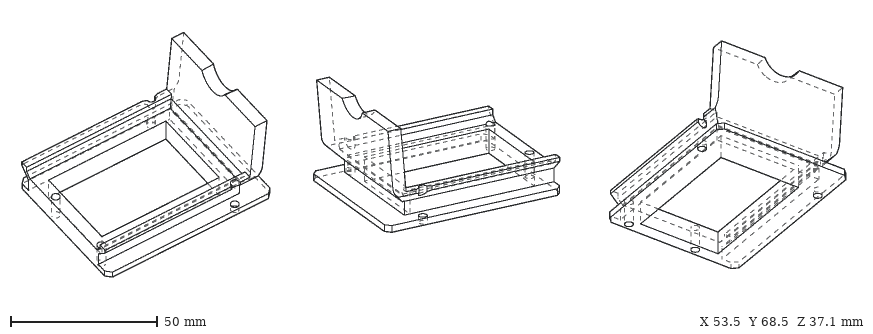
import cadquery as cq
import math

base_width = 53.5
base_length = 68.5
base_height = 2.55
corner_chamfer = 1.9

pedestal_half_width = 21.0
pedestal_back = 58.6
flare_bottom = 7.7
flare_size = 4.05
flare_top = flare_bottom + flare_size
rim_half_width = pedestal_half_width + flare_size
rim_top = 13.15
flare_back_step = 0.75

floor_height = 9.05
floor_half_width = 20.1
bevel_size = 2.0
bevel_top = floor_height + bevel_size
recess_half_width = floor_half_width + bevel_size
floor_back = 58.15

window_width = 32.05
window_front = 4.9
window_length = 48.65

total_height = 37.1
wall_lean = math.radians(5)
wall_top_front = 62.2
wall_top_depth = 5.0
wall_bend_radius = 5.0
grip_radius = 7.8
grip_depth = 4.05

hole_diameter = 3.0
left_hole = (-24.3, 53.15)
right_hole = (24.3, 54.3)
front_holes = [(-8.2, 2.55), (19.2, 2.55)]
left_relief_half_length = 3.1
right_relief_half_length = 1.9
relief_depth = 1.2


def wall_y(z, top_y):
    """Y of a leaning wall face at height z, given its Y at the top."""
    return top_y - (total_height - z) * math.tan(wall_lean)


def make_base():
    plate = cq.Workplane("XY").rect(base_width, base_length).extrude(base_height)
    return plate.edges("|Z").chamfer(corner_chamfer).translate((0, base_length / 2, 0))


def make_frame_and_wall():
    wall_top_back = wall_top_front + wall_top_depth
    flare_back = pedestal_back + flare_back_step
    slope = math.tan(wall_lean)
    bend_rise = (wall_y(flare_bottom, wall_top_back) - flare_back) / (1 - slope)
    bend_z = flare_bottom + bend_rise
    side_profile = [
        (0, 0),
        (pedestal_back, 0),
        (pedestal_back, flare_bottom),
        (flare_back, flare_bottom),
        (flare_back + bend_rise, bend_z),
        (wall_top_back, total_height),
        (wall_top_front, total_height),
        (wall_y(rim_top, wall_top_front), rim_top),
        (0, rim_top),
    ]
    body = (
        cq.Workplane("YZ")
        .polyline(side_profile)
        .close()
        .extrude(rim_half_width, both=True)
    )
    bend_point = (0, flare_back + bend_rise, bend_z)
    body = body.edges(cq.NearestToPointSelector(bend_point)).fillet(wall_bend_radius)

    right_profile = [
        (pedestal_half_width, 0),
        (pedestal_half_width, flare_bottom),
        (rim_half_width, flare_top),
        (rim_half_width, total_height),
    ]
    left_profile = [(-x, z) for x, z in reversed(right_profile)]
    envelope = (
        cq.Workplane("XZ")
        .polyline(right_profile + left_profile)
        .close()
        .extrude(-base_length)
    )
    return body.intersect(envelope)


def make_recess():
    across = [
        (floor_half_width, floor_height),
        (recess_half_width, bevel_top),
        (recess_half_width, rim_top),
        (-recess_half_width, rim_top),
        (-recess_half_width, bevel_top),
        (-floor_half_width, floor_height),
    ]
    along = [
        (0, floor_height),
        (floor_back, floor_height),
        (wall_y(bevel_top, wall_top_front), bevel_top),
        (wall_y(rim_top, wall_top_front), rim_top),
        (0, rim_top),
    ]
    channel = cq.Workplane("XZ").polyline(across).close().extrude(-base_length)
    limit = cq.Workplane("YZ").polyline(along).close().extrude(rim_half_width, both=True)
    return channel.intersect(limit)


def make_window():
    return (
        cq.Workplane("XY")
        .center(0, window_front + window_length / 2)
        .rect(window_width, window_length)
        .extrude(rim_top)
    )


def make_grip():
    """Finger notch cut square to the leaning wall."""
    axis = cq.Vector(0, math.cos(wall_lean), -math.sin(wall_lean))
    center = cq.Vector(0, wall_top_front, total_height - grip_depth + grip_radius)
    start = center - axis * wall_top_depth
    return cq.Workplane(cq.Solid.makeCylinder(grip_radius, 3 * wall_top_depth, start, axis))


def make_relief(hole, half_length):
    """V-shaped notch in the rim edge beside a side hole."""
    x_edge = math.copysign(rim_half_width, hole[0])
    x_tip = math.copysign(rim_half_width - relief_depth, hole[0])
    points = [
        (x_edge, hole[1] - half_length),
        (x_tip, hole[1]),
        (x_edge, hole[1] + half_length),
    ]
    return (
        cq.Workplane("XY", origin=(0, 0, flare_bottom))
        .polyline(points)
        .close()
        .extrude(rim_top - flare_bottom)
    )


def make_holes():
    return (
        cq.Workplane("XY")
        .pushPoints([left_hole, right_hole] + front_holes)
        .circle(hole_diameter / 2)
        .extrude(rim_top)
    )


result = make_base().union(make_frame_and_wall())
for cutter in (make_recess(), make_window(), make_grip(), make_holes()):
    result = result.cut(cutter)
result = result.cut(make_relief(left_hole, left_relief_half_length))
result = result.cut(make_relief(right_hole, right_relief_half_length))